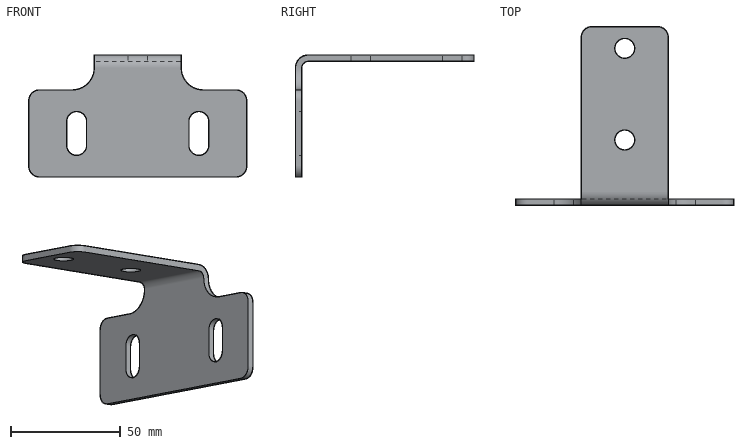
import cadquery as cq

plate_width = 100.0
plate_height = 40.0
tab_width = 40.0
tab_reach = 82.0
total_height = 56.0
thickness = 3.0
bend_inner_radius = 3.0
corner_radius = 5.0
neck_radius = 10.0

slot_width = 9.0
slot_length = 20.0
slot_offset = 28.0
slot_height = plate_height / 2
hole_diameter = 9.0
hole_positions = (30.0, 72.0)

bend_outer_radius = bend_inner_radius + thickness
bend_start = total_height - bend_outer_radius


def make_angle():
    """Bent strip: upright leg, rounded bend and horizontal tab."""
    strip = (
        cq.Workplane("YZ")
        .polyline([
            (0, 0),
            (0, total_height),
            (tab_reach, total_height),
            (tab_reach, total_height - thickness),
            (thickness, total_height - thickness),
            (thickness, 0),
        ])
        .close()
        .extrude(tab_width / 2, both=True)
    )
    outer_edge = cq.selectors.NearestToPointSelector((0, 0, total_height))
    strip = strip.edges(outer_edge).fillet(bend_outer_radius)
    inner_edge = cq.selectors.NearestToPointSelector((0, thickness, total_height - thickness))
    strip = strip.edges(inner_edge).fillet(bend_inner_radius)
    return strip.faces(">Y").edges("|Z").fillet(corner_radius)


def make_plate():
    """Wide upright mounting plate with rounded corners."""
    return (
        cq.Workplane("XY")
        .box(plate_width, thickness, plate_height, centered=(True, False, False))
        .edges("|Y")
        .fillet(corner_radius)
    )


def make_neck(side):
    """Concave gusset between the plate top and one side of the tab."""
    inner_x = side * tab_width / 2
    outer_x = inner_x + side * neck_radius
    arc_offset = neck_radius * (1 - 0.5 ** 0.5)
    return (
        cq.Workplane("XZ")
        .moveTo(inner_x, plate_height)
        .lineTo(outer_x, plate_height)
        .threePointArc(
            (inner_x + side * arc_offset, plate_height + arc_offset),
            (inner_x, bend_start),
        )
        .close()
        .extrude(-thickness)
    )


bracket = make_angle().union(make_plate())
for side in (-1, 1):
    bracket = bracket.union(make_neck(side))

slots = (
    cq.Workplane("XZ")
    .pushPoints([(-slot_offset, slot_height), (slot_offset, slot_height)])
    .slot2D(slot_length, slot_width, 90)
    .extrude(-thickness)
)

holes = (
    cq.Workplane("XY", origin=(0, 0, total_height))
    .pushPoints([(0, y) for y in hole_positions])
    .circle(hole_diameter / 2)
    .extrude(-thickness)
)

result = bracket.cut(slots).cut(holes)